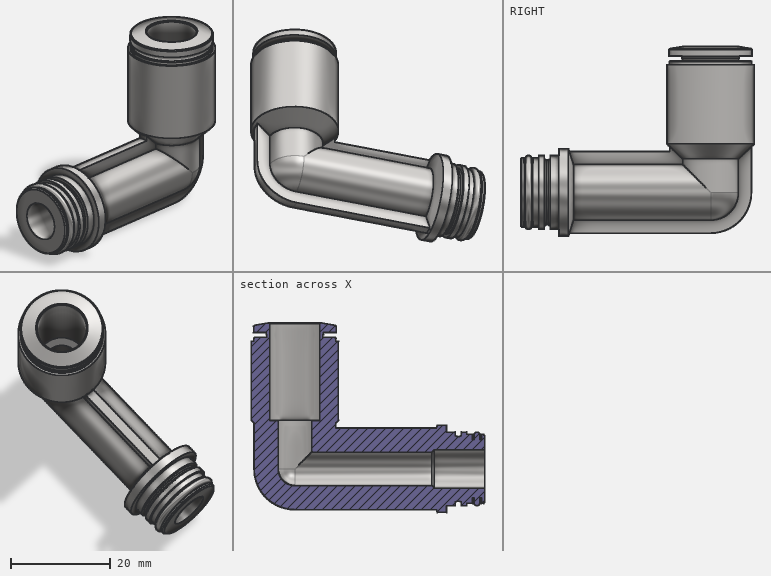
import cadquery as cq


overall_length = 47.15
overall_height = 38.35

tube_d = 11.4
passage_d = 6.7
flange_d = 17.7

rib_thickness = 2.0
rib_reach = 8.25

socket_d = 17.7
cone_bottom = 6.75
socket_bottom = 9.75
socket_top = 25.75
cap_d = 16.7
cap_bevel = 0.25
cap_top = 26.55
neck_d = 11.4
neck_step_d = 11.6
neck_step = 27.05
collar_d = 16.8
collar_bottom = 27.5
collar_edge = 28.75
collar_bevel = 0.25
collar_top = overall_height - flange_d / 2
socket_bore_d = 10.0
socket_bore_bevel = 0.25

flange_cone_start = 27.65
flange_start = 28.65
flange_end = 30.6
land_d = 14.95
land_end = 32.35
groove_d = 13.15
groove_bevel = 0.4
second_land_start = 33.52
second_land_end = 34.65
nose_d = 14.0
seal_groove_start = 35.85
seal_groove_end = 37.6
seal_groove_d = 11.8
seal_start = 36.05
seal_width = 1.25
spigot_end = overall_length - socket_d / 2
nose_bevel = 0.3
spigot_bore_d = 7.7
spigot_bore_start = 27.65
spigot_bore_taper = (spigot_bore_d - passage_d) / 2


def turned(stations):
    """Solid of revolution about Z from (diameter, height) stations."""
    points = [(diameter / 2, height) for diameter, height in stations]
    outline = [(0, points[0][1])] + points + [(0, points[-1][1])]
    return cq.Workplane("XZ").polyline(outline).close().revolve(360, (0, 0), (0, 1))


def along_spigot(body):
    """Turn a body built up +Z so that it points along -Y."""
    return body.rotate((0, 0, 0), (1, 0, 0), 90)


def make_socket():
    return turned([
        (tube_d, 0),
        (tube_d, cone_bottom),
        (socket_d, socket_bottom),
        (socket_d, socket_top),
        (cap_d, socket_top),
        (cap_d, cap_top - cap_bevel),
        (cap_d - 2 * cap_bevel, cap_top),
        (neck_d, cap_top),
        (neck_d, neck_step),
        (neck_step_d, neck_step),
        (neck_step_d, collar_bottom),
        (collar_d, collar_bottom),
        (collar_d, collar_edge),
        (collar_d - 2 * collar_bevel, collar_edge + collar_bevel),
        (socket_bore_d + 2 * socket_bore_bevel, collar_top),
    ])


def make_spigot():
    return along_spigot(turned([
        (tube_d, 0),
        (tube_d, flange_cone_start),
        (flange_d, flange_start),
        (flange_d, flange_end),
        (land_d, flange_end),
        (land_d, land_end),
        (groove_d + groove_bevel, land_end),
        (groove_d, land_end + groove_bevel),
        (groove_d, second_land_start - groove_bevel),
        (groove_d + groove_bevel, second_land_start),
        (land_d, second_land_start),
        (land_d, second_land_end),
        (nose_d, second_land_end),
        (nose_d, seal_groove_start),
        (seal_groove_d, seal_groove_start),
        (seal_groove_d, seal_groove_end),
        (nose_d, seal_groove_end),
        (nose_d, spigot_end - nose_bevel),
        (nose_d - 2 * nose_bevel, spigot_end),
    ]))


def make_seal():
    """Seal ring with a rounded outer edge, rooted in the spigot's groove."""
    root = seal_groove_d / 2 - seal_width / 4
    crown = land_d / 2
    shoulder = crown - seal_width / 2
    seal_end = seal_start + seal_width
    ring = (
        cq.Workplane("XZ")
        .moveTo(root, seal_start)
        .lineTo(shoulder, seal_start)
        .threePointArc((crown, seal_start + seal_width / 2), (shoulder, seal_end))
        .lineTo(root, seal_end)
        .close()
        .revolve(360, (0, 0), (0, 1))
    )
    return along_spigot(ring)


def make_rib():
    """L-shaped web with a round outer corner, from the socket to the flange."""
    diagonal = rib_reach * 0.5 ** 0.5
    return (
        cq.Workplane("YZ")
        .moveTo(-flange_start, -rib_reach)
        .lineTo(0, -rib_reach)
        .threePointArc((diagonal, -diagonal), (rib_reach, 0))
        .lineTo(rib_reach, socket_bottom)
        .lineTo(-rib_reach, socket_bottom)
        .lineTo(-rib_reach, rib_reach)
        .lineTo(-flange_start, rib_reach)
        .close()
        .extrude(rib_thickness / 2, both=True)
    )


def make_passage():
    """Round passage through both legs, with a spherical corner and a wider bore in the spigot."""
    upward = turned([
        (passage_d, 0),
        (passage_d, socket_bottom),
        (socket_bore_d, socket_bottom),
        (socket_bore_d, collar_top - socket_bore_bevel),
        (socket_bore_d + 2 * socket_bore_bevel, collar_top),
    ])
    outward = along_spigot(turned([
        (passage_d, 0),
        (passage_d, spigot_bore_start),
        (spigot_bore_d, spigot_bore_start + spigot_bore_taper),
        (spigot_bore_d, spigot_end),
    ]))
    return upward.union(outward).union(cq.Workplane("XY").sphere(passage_d / 2))


elbow = make_socket().union(make_spigot()).union(cq.Workplane("XY").sphere(tube_d / 2))
result = elbow.union(make_rib()).union(make_seal()).cut(make_passage())